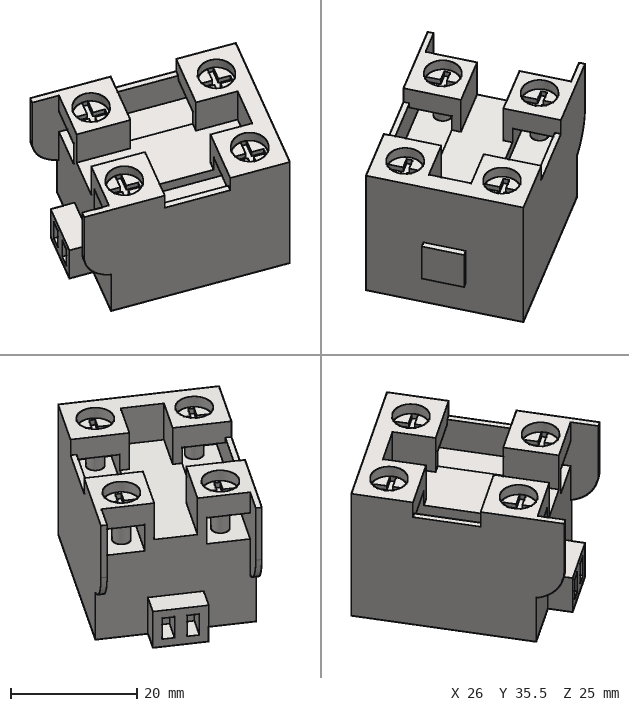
import cadquery as cq

width = 26.0
depth = 30.0
height = 25.0
wall = 1.0

wing_reach = 4.5
wing_corner_radius = 6.25
wing_corner_top = 15.0

front_block_depth = 9.0
rear_block_depth = 10.0
side_notch_depth = 3.0

trough_width = 7.0
trough_floor = 18.0
rear_wall = 3.0

channel_width = 7.0
channel_floor = 16.0
channel_roof = 21.0
channel_x = width / 2 - wall - channel_width / 2

screw_x = width / 2 - 5.0
front_screw_y = 3.98
rear_screw_y = depth - 5.0
head_diameter = 6.0
head_sink = 2.0
shank_diameter = 3.0
drive_width = 1.0
drive_length = 5.0
drive_depth = 1.0

connector_width = 9.0
connector_height = 7.0
connector_reach = 4.0
socket_width = 2.0
socket_height = 4.0
socket_bottom = 1.5
socket_pitch = 4.0

tab_width = 7.0
tab_height = 7.0
tab_bottom = 6.0
tab_reach = 1.0

SIDES = (-1, 1)


def box(x_range, y_range, z_range):
    """Box spanning the given (low, high) ranges."""
    ranges = (x_range, y_range, z_range)
    sizes = [high - low for low, high in ranges]
    corner = tuple(low for low, _ in ranges)
    return cq.Workplane("XY").box(*sizes, centered=False).translate(corner)


def centred(size, middle=0):
    """Range of the given size about a middle value."""
    return (middle - size / 2, middle + size / 2)


def cylinder(diameter, x, y, z_low, z_high):
    """Upright cylinder between two heights."""
    return cq.Workplane("XY", origin=(x, y, z_low)).circle(diameter / 2).extrude(z_high - z_low)


def housing():
    """Block with the side notch, the trough and the wire channels removed."""
    block = box(centred(width), (0, depth), (0, height))
    between_blocks = (front_block_depth, depth - rear_block_depth)
    inner_length = (0, depth - rear_wall)

    notch = box(centred(width), between_blocks, (height - side_notch_depth, height))
    hollow = box(centred(width - 2 * wall), between_blocks, (trough_floor, height))
    trough = box(centred(trough_width), inner_length, (trough_floor, height))
    block = block.cut(notch).cut(hollow).cut(trough)

    for side in SIDES:
        channel = box(centred(channel_width, side * channel_x), inner_length, (channel_floor, channel_roof))
        block = block.cut(channel)
    return block


def wing(side):
    """Front extension of one side wall, with its lower corner rounded."""
    x_range = centred(wall, side * (width - wall) / 2)
    arc_y = wing_corner_radius - wing_reach
    upper = box(x_range, (-wing_reach, arc_y), (wing_corner_top, height))
    corner = (
        cq.Workplane("YZ", origin=(x_range[0], arc_y, wing_corner_top))
        .lineTo(-wing_corner_radius, 0)
        .radiusArc((0, -wing_corner_radius), -wing_corner_radius)
        .close()
        .extrude(wall)
    )
    in_front = box(x_range, (-wing_reach, 0), (0, height))
    return upper.union(corner).intersect(in_front)


def screw_well(x, y):
    """Hollow above a screw head, with the cross recess in the head."""
    head_top = height - head_sink
    drive_z = (head_top - drive_depth, head_top)
    well = cylinder(head_diameter, x, y, head_top, height)
    long_slot = box(centred(head_diameter, x), centred(drive_width, y), drive_z)
    short_slot = box(centred(drive_width, x), centred(drive_length, y), drive_z)
    return well.union(long_slot).union(short_slot)


def connector():
    """Plug block with two sockets as deep as the block."""
    y_range = (-connector_reach, 0)
    plug = box(centred(connector_width), y_range, (0, connector_height))
    socket_z = (socket_bottom, socket_bottom + socket_height)
    for side in SIDES:
        plug = plug.cut(box(centred(socket_width, side * socket_pitch / 2), y_range, socket_z))
    return plug


def rear_tab():
    """Flat tab standing off the rear face."""
    return box(centred(tab_width), (depth, depth + tab_reach), (tab_bottom, tab_bottom + tab_height))


result = housing().union(connector()).union(rear_tab())

for side in SIDES:
    result = result.union(wing(side))
    for screw_y in (front_screw_y, rear_screw_y):
        shank = cylinder(shank_diameter, side * screw_x, screw_y, channel_floor, channel_roof)
        result = result.union(shank).cut(screw_well(side * screw_x, screw_y))